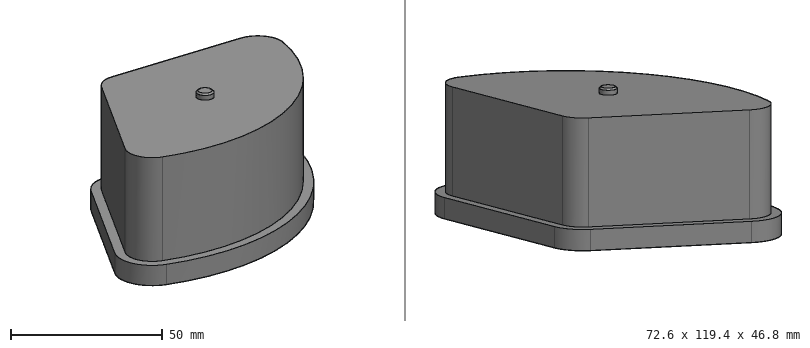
import cadquery as cq
import math

corner_half_span = 47.2
side_angle = 60.0
core_bulge = 20.3
core_apex_depth = corner_half_span / math.tan(math.radians(side_angle))

flange_corner_radius = 12.5
flange_ledge = 3.5
body_corner_radius = flange_corner_radius - flange_ledge

flange_height = 7.3
body_height = 37.2
pin_height = 2.3
pin_diameter = 6.0
pin_chamfer = 0.6

body_base = flange_height
body_top = flange_height + body_height


def fan_prism(corner_radius, base, height):
    """Rounded fan prism: the core outline grown by corner_radius, apex toward -X."""
    return (
        cq.Workplane("XY", origin=(0, 0, base))
        .moveTo(-core_apex_depth, 0)
        .lineTo(0, -corner_half_span)
        .threePointArc((core_bulge, 0), (0, corner_half_span))
        .close()
        .offset2D(corner_radius, "arc")
        .extrude(height)
    )


def top_pin():
    """Short chamfered pin, centred on the line joining the two outer corners."""
    return (
        cq.Workplane("XY", origin=(0, 0, body_top))
        .circle(pin_diameter / 2)
        .extrude(pin_height)
        .faces(">Z")
        .chamfer(pin_chamfer)
    )


flange = fan_prism(flange_corner_radius, 0, flange_height)
body = fan_prism(body_corner_radius, body_base, body_height)

result = flange.union(body).union(top_pin())